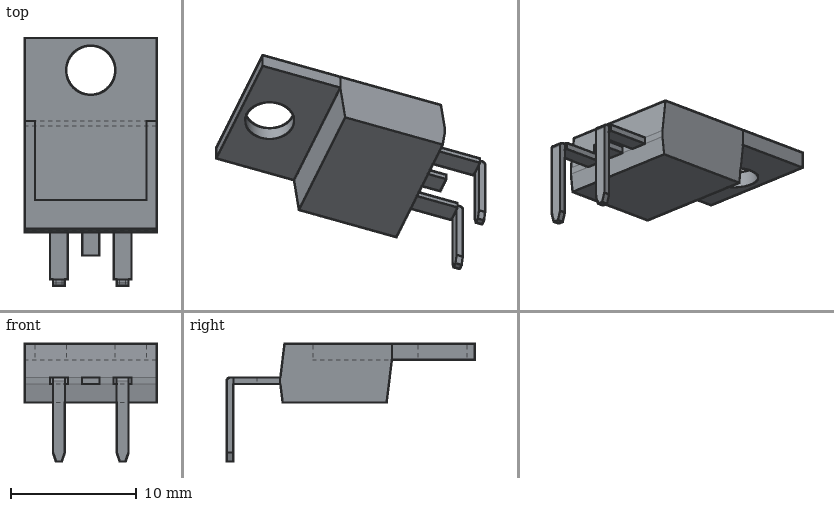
import cadquery as cq
import math


width = 10.54
total_length = 19.77
total_height = 9.4

lead_thickness = 0.53
lead_top = -2.69
lead_bottom = lead_top - lead_thickness
lead_pitch = 5.08
outer_lead_width = 1.45
outer_lead_length = 3.74
center_lead_width = 1.38
center_lead_length = 1.84
lead_centers = [-lead_pitch / 2, lead_pitch / 2]

pin_width = 0.97
pin_bend_radius = 0.3
pin_tip_width = 0.47
pin_tip_length = 0.73
pin_front = -outer_lead_length - lead_thickness

tab_back = total_length + pin_front
tab_thickness = 1.3
tab_exposed_length = 6.6
tab_length = 12.9
tab_inset_width = 8.88
hole_diameter = 3.9
hole_from_back = 2.57

housing_height = 4.7
housing_back = tab_back - tab_exposed_length
draft_slope = math.tan(math.radians(7))


def make_tab():
    """Flat plate, full width behind the housing and narrower inside it, with a mounting hole."""
    tab_front = tab_back - tab_length
    exposed = cq.Workplane("XY").box(
        width, tab_exposed_length, tab_thickness, centered=(True, False, False)
    ).translate((0, housing_back, -tab_thickness))
    inset = cq.Workplane("XY").box(
        tab_inset_width, housing_back - tab_front, tab_thickness, centered=(True, False, False)
    ).translate((0, tab_front, -tab_thickness))
    hole = (
        cq.Workplane("XY")
        .center(0, tab_back - hole_from_back)
        .circle(hole_diameter / 2)
        .extrude(-tab_thickness)
    )
    return exposed.union(inset).cut(hole)


def make_housing(tab):
    """Molded block with drafted ends and a recess that fits the tab."""
    top_front = -lead_top * draft_slope
    bottom_front = (housing_height + lead_bottom) * draft_slope
    bottom_back = housing_back - (housing_height - tab_thickness) * draft_slope
    profile = [
        (top_front, 0),
        (housing_back, 0),
        (housing_back, -tab_thickness),
        (bottom_back, -housing_height),
        (bottom_front, -housing_height),
        (0, lead_bottom),
        (0, lead_top),
    ]
    block = cq.Workplane("YZ").polyline(profile).close().extrude(width / 2, both=True)
    return block.cut(tab)


def make_lead(x, lead_width, length):
    """Straight bar that stands out from the front face of the housing."""
    return cq.Workplane("XY").box(
        lead_width, length, lead_thickness, centered=(True, False, False)
    ).translate((x, -length, lead_bottom))


def make_pin(x):
    """Downward pin at the end of an outer lead, rounded at the top and tapered at the tip."""
    tip_z = -total_height
    taper_z = tip_z + pin_tip_length
    outline = [
        (x - pin_width / 2, lead_top),
        (x + pin_width / 2, lead_top),
        (x + pin_width / 2, taper_z),
        (x + pin_tip_width / 2, tip_z),
        (x - pin_tip_width / 2, tip_z),
        (x - pin_width / 2, taper_z),
    ]
    pin = (
        cq.Workplane("XZ", origin=(0, -outer_lead_length, 0))
        .polyline(outline)
        .close()
        .extrude(lead_thickness)
    )
    return pin.faces(">Z").edges("<Y").fillet(pin_bend_radius)


tab = make_tab()
housing = make_housing(tab)
center_lead = make_lead(0, center_lead_width, center_lead_length)
outer_leads = [make_lead(x, outer_lead_width, outer_lead_length) for x in lead_centers]
pins = [make_pin(x) for x in lead_centers]

bodies = [tab, housing, center_lead, *outer_leads, *pins]
result = cq.Compound.makeCompound([body.solids().val() for body in bodies])